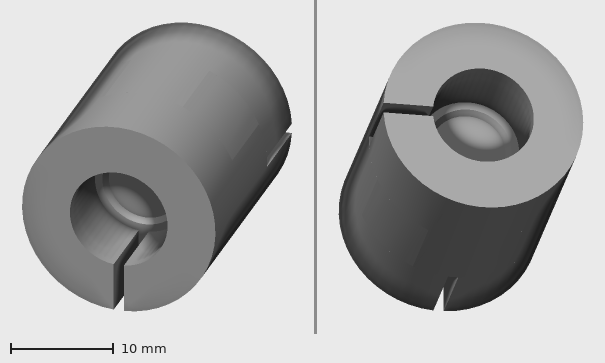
import cadquery as cq
import math

total_length = 24.5
outer_diameter = 19.8
hub_length = 7.99
bore_diameter = 10.0
slot_width = 1.03
jaw_width = 7.99
core_diameter = 10.35
recess_floor_diameter = 7.45
recess_mouth_diameter = 8.45

outer_radius = outer_diameter / 2
jaw_length = total_length - 2 * hub_length
recess_depth = (recess_mouth_diameter - recess_floor_diameter) / 2


def cylinder(diameter, start, length):
    """Cylinder on the Y axis, running from start toward +Y."""
    return cq.Workplane("XZ", origin=(0, start, 0)).circle(diameter / 2).extrude(-length)


def jaw_pair():
    """Two opposed radial-sided jaws on the X axis, centred on Y = 0, outside the spider core."""
    half_angle = math.asin(jaw_width / 2 / outer_radius)
    wedge_reach = 2 * outer_radius
    wedge_half_width = wedge_reach * math.tan(half_angle)
    disc = cylinder(outer_diameter, -jaw_length / 2, jaw_length)
    core = cylinder(core_diameter, -jaw_length / 2, jaw_length)
    wedge = (
        cq.Workplane("XZ", origin=(0, -jaw_length / 2, 0))
        .polyline([(0, 0), (wedge_reach, -wedge_half_width), (wedge_reach, wedge_half_width)])
        .close()
        .extrude(-jaw_length)
    )
    jaw = wedge.intersect(disc).cut(core)
    return jaw.union(jaw.mirror("YZ"))


def make_hub():
    """Hub on the -Y side: bored disc, clamping slot toward -Z, jaws toward +Y."""
    hub_start = -total_length / 2
    disc = cylinder(outer_diameter, hub_start, hub_length)
    bore = cylinder(bore_diameter, hub_start, hub_length)
    slot = cq.Workplane("XY").box(slot_width, hub_length, outer_radius)
    slot = slot.translate((0, hub_start + hub_length / 2, -outer_radius / 2))
    return disc.cut(bore).cut(slot).union(jaw_pair())


def make_spider():
    """Core with four arms filling the spaces between jaws, and a shallow conical recess in each end."""
    front_face = -jaw_length / 2
    body = cylinder(outer_diameter, front_face, jaw_length)
    jaws = jaw_pair()
    body = body.cut(jaws).cut(jaws.rotate((0, 0, 0), (0, 1, 0), 90))
    cone = cq.Solid.makeCone(
        recess_mouth_diameter / 2,
        recess_floor_diameter / 2,
        recess_depth,
        pnt=cq.Vector(0, front_face, 0),
        dir=cq.Vector(0, 1, 0),
    )
    recess = cq.Workplane(cone)
    return body.cut(recess).cut(recess.mirror("XZ"))


front_hub = make_hub()
rear_hub = make_hub().rotate((0, 0, 0), (0, 0, 1), 180).rotate((0, 0, 0), (0, 1, 0), -90)
spider = make_spider()

result = cq.Compound.makeCompound([front_hub.val(), rear_hub.val(), spider.val()])